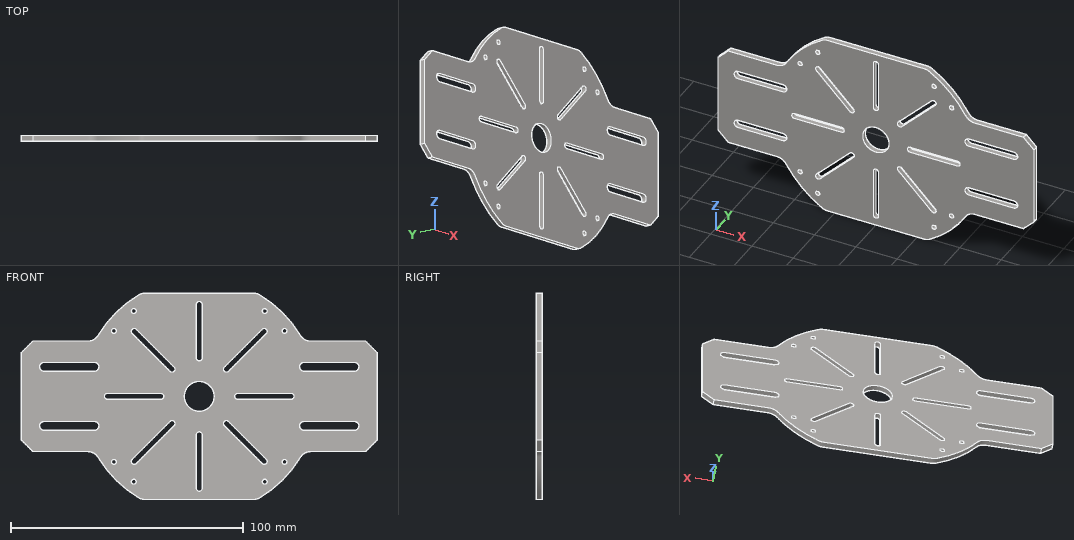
import cadquery as cq
import math

length = 153.2
height = 88.9
thickness = 2.6
disc_radius = 50.9
wing_height = 47.6
wing_chamfer = 5.0
blend_radius = 5.0

bore_diameter = 12.7

radial_slot_count = 8
radial_slot_inner = 15.3
radial_slot_outer = 40.7
radial_slot_width = 2.5

wing_slot_length = 25.5
wing_slot_width = 3.7
wing_slot_x = 55.9
wing_slot_z = 12.7

small_hole_diameter = 2.0
small_hole_circle_radius = 46.3
small_hole_half_angle = 7.5
diagonal_angles = (45, 135, 225, 315)


def plate():
    """Flat plate centred on the origin, lying in the XZ plane."""
    wings = (
        cq.Workplane("XZ")
        .rect(length, wing_height)
        .extrude(thickness / 2, both=True)
        .edges("|Y")
        .chamfer(wing_chamfer)
    )
    flat_band = cq.Workplane("XZ").rect(length, height).extrude(thickness / 2, both=True)
    disc = (
        cq.Workplane("XZ")
        .circle(disc_radius)
        .extrude(thickness / 2, both=True)
        .intersect(flat_band)
    )
    return wings.union(disc)


def blend_disc_corners(body):
    """Round the corners where the disc meets its flats and the wings."""
    for edge_z in (height / 2, wing_height / 2):
        edge_x = math.sqrt(disc_radius**2 - edge_z**2)
        for x in (-edge_x, edge_x):
            for z in (-edge_z, edge_z):
                corner = cq.selectors.NearestToPointSelector((x, 0, z))
                body = body.edges("|Y").edges(corner).fillet(blend_radius)
    return body


def through_cutter(sketch):
    """Extrude a closed profile through the full plate thickness."""
    return sketch.extrude(thickness, both=True)


def radial_slots():
    slot_length = radial_slot_outer - radial_slot_inner
    mid_radius = (radial_slot_outer + radial_slot_inner) / 2
    return through_cutter(
        cq.Workplane("XZ")
        .polarArray(mid_radius, 0, 360, radial_slot_count)
        .slot2D(slot_length, radial_slot_width)
    )


def wing_slots():
    return through_cutter(
        cq.Workplane("XZ")
        .rarray(2 * wing_slot_x, 2 * wing_slot_z, 2, 2)
        .slot2D(wing_slot_length, wing_slot_width)
    )


def small_holes():
    centres = []
    for diagonal in diagonal_angles:
        for offset in (-small_hole_half_angle, small_hole_half_angle):
            angle = math.radians(diagonal + offset)
            centres.append(
                (small_hole_circle_radius * math.cos(angle), small_hole_circle_radius * math.sin(angle))
            )
    return through_cutter(cq.Workplane("XZ").pushPoints(centres).circle(small_hole_diameter / 2))


bore = through_cutter(cq.Workplane("XZ").circle(bore_diameter / 2))

result = (
    blend_disc_corners(plate())
    .cut(bore)
    .cut(radial_slots())
    .cut(wing_slots())
    .cut(small_holes())
)